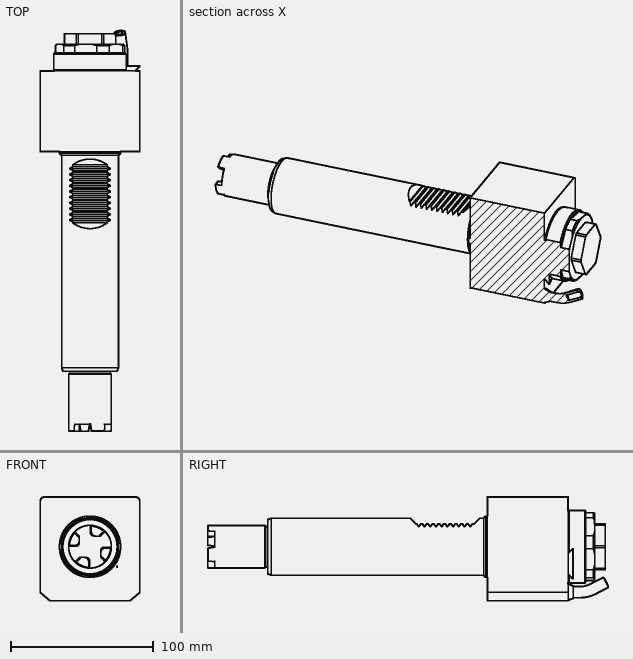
import cadquery as cq
import math


block_width = 70.0
block_top = 35.0
block_bottom = -38.0
block_length = 56.5
block_top_fillet = 3.5
block_chamfer_width = 7.0
block_chamfer_height = 6.0

collar_diameter = 43.0
collar_length = 2.5
collar_chamfer = 1.2
shank_diameter = 40.0
shank_end = 154.0
shank_chamfer_length = 2.5
shank_chamfer_radial = 1.0

tip_diameter = 30.0
tip_end = 196.0
lug_height = 5.0
lug_count = 4
lug_foot_start_x = 0.2
lug_foot_end_x = 7.2
lug_flank_draft = 0.8
lug_floor_z = 7.5
lug_corner_radius = 2.8
lug_chamfer = 0.5
neck_width = 2.0
neck_depth = 0.7

flat_height = 16.0
flat_start = 5.3
flat_end = 54.0
tooth_pitch = 4.0
tooth_count = 10
tooth_depth = 2.0
tooth_width = 2.8
first_tooth = 12.0

base_diameter = 51.0
base_length = 12.5
base_foot_diameter = 50.4
base_foot_length = 0.8
base_chamfer = 0.8
large_nut_flats = 46.0
large_nut_diameter = 48.6
large_nut_length = 6.2
large_nut_chamfer = 1.0
large_nut_angle = -7.5
small_nut_flats = 32.0
small_nut_diameter = 36.0
small_nut_length = 7.4
hexagon_sides = 6

screw_diameter = 21.0
screw_rim = 0.3
screw_height = 3.5
screw_x = block_width / 2 - screw_diameter / 2
screw_z = -12.0

tube_x = 22.6
tube_z = -31.8
tube_diameter = 8.0
tube_bore = 4.0
tube_socket_diameter = 11.57
tube_socket_end_diameter = 9.0
tube_socket_height = 3.5
tube_straight = 5.0
tube_bend_radius = 19.0
tube_bend_angle = 28.0
tube_outlet_length = 10.21
tube_lean = 15.0


def plane_at(y):
    """Plane facing +Y, with its local x along -X and local y along Z."""
    return cq.Workplane(cq.Plane(origin=(0, y, 0), xDir=(-1, 0, 0), normal=(0, 1, 0)))


def disc(y, diameter, length):
    """Cylinder on the shank axis that starts at y and runs toward +Y."""
    return plane_at(y).circle(diameter / 2).extrude(length)


def make_block():
    """Block with rounded top edges and chamfered bottom edges along Y."""
    height = block_top - block_bottom
    block = cq.Workplane("XY").box(block_width, block_length, height, centered=(True, False, False))
    block = block.translate((0, 0, block_bottom))
    block = block.edges("|Y and >Z").fillet(block_top_fillet)
    corners = cq.Workplane("XY")
    for side in (-1, 1):
        corner = (
            cq.Workplane("XZ")
            .polyline([
                (side * block_width / 2, block_bottom),
                (side * block_width / 2, block_bottom + block_chamfer_height),
                (side * (block_width / 2 - block_chamfer_width), block_bottom),
            ])
            .close()
            .extrude(-block_length)
        )
        corners = corners.add(corner)
    return block.cut(corners.combine())


def make_shank():
    """Collar, shank, neck groove and tip body, revolved about the Y axis."""
    collar_radius = collar_diameter / 2
    shank_radius = shank_diameter / 2
    tip_radius = tip_diameter / 2
    profile = [
        (0, 0),
        (collar_radius, 0),
        (collar_radius, -(collar_length - collar_chamfer)),
        (collar_radius - collar_chamfer, -collar_length),
        (shank_radius, -collar_length),
        (shank_radius, -(shank_end - shank_chamfer_length)),
        (shank_radius - shank_chamfer_radial, -shank_end),
        (tip_radius - neck_depth, -shank_end),
        (tip_radius - neck_depth, -(shank_end + neck_width - neck_depth)),
        (tip_radius, -(shank_end + neck_width)),
        (tip_radius, -(tip_end - lug_height)),
        (0, -(tip_end - lug_height)),
    ]
    return cq.Workplane("XY").polyline(profile).close().revolve(360, (0, 0), (0, 1))


def lug_section(y, start_x, end_x):
    """Lug outline at y: straight flank, rounded corner, floor and a 45 degree flank."""
    tip_radius = tip_diameter / 2
    arc_offset = lug_corner_radius * (1 - math.sqrt(0.5))
    return (
        cq.Workplane("XZ", origin=(0, y, 0))
        .moveTo(start_x, tip_radius)
        .lineTo(start_x, lug_floor_z + lug_corner_radius)
        .threePointArc(
            (start_x + arc_offset, lug_floor_z + arc_offset),
            (start_x + lug_corner_radius, lug_floor_z),
        )
        .lineTo(end_x, lug_floor_z)
        .lineTo(end_x + tip_radius - lug_floor_z, tip_radius)
        .close()
        .val()
    )


def make_lugs():
    """Lugs with drafted flanks, trimmed to the tip diameter and spaced evenly."""
    foot = lug_section(-tip_end + lug_height, lug_foot_start_x, lug_foot_end_x)
    crest = lug_section(-tip_end, lug_foot_start_x + lug_flank_draft, lug_foot_end_x - lug_flank_draft)
    lug = cq.Workplane(cq.Solid.makeLoft([foot, crest], True))
    envelope = disc(-tip_end, tip_diameter, lug_height).faces("<Y").chamfer(lug_chamfer)
    lug = lug.intersect(envelope)
    lugs = cq.Workplane("XY")
    for index in range(lug_count):
        lugs = lugs.add(lug.rotate((0, 0, 0), (0, 1, 0), index * 360 / lug_count))
    return lugs.combine()


def cut_serrated_flat(body):
    """Flat with 45 degree run-outs and a row of V grooves across it."""
    shank_top = shank_diameter / 2
    drop = shank_top - flat_height
    side = cq.Workplane("YZ", origin=(-shank_top, 0, 0))
    cutter = side.polyline([
        (-flat_start, shank_top),
        (-flat_start - drop, flat_height),
        (-flat_end + drop, flat_height),
        (-flat_end, shank_top),
    ]).close().extrude(shank_diameter)
    body = body.cut(cutter)
    for index in range(tooth_count):
        y = -first_tooth - index * tooth_pitch
        groove = side.polyline([
            (y - tooth_width / 2, flat_height),
            (y, flat_height - tooth_depth),
            (y + tooth_width / 2, flat_height),
        ]).close().extrude(shank_diameter)
        body = body.cut(groove)
    return body


def make_nut(y, flats, diameter, length, angle, chamfer):
    """Hexagon of the given width across flats with its corners turned to a diameter."""
    across_corners = flats / math.cos(math.pi / hexagon_sides)
    hexagon = plane_at(y).polygon(hexagon_sides, across_corners).extrude(length)
    hexagon = hexagon.rotate((0, 0, 0), (0, 1, 0), angle)
    envelope = disc(y, diameter, length)
    if chamfer > 0:
        envelope = envelope.faces(">Y").chamfer(chamfer)
    return hexagon.intersect(envelope)


def make_nut_side():
    """Round base on a slightly smaller foot, followed by the large and the small hexagon."""
    base_end = block_length + base_length
    large_nut_end = base_end + large_nut_length
    rim_start = block_length + base_foot_length
    base = disc(rim_start, base_diameter, base_length - base_foot_length).faces(">Y").chamfer(base_chamfer)
    base = base.union(disc(block_length, base_foot_diameter, base_foot_length))
    large_nut = make_nut(
        base_end, large_nut_flats, large_nut_diameter, large_nut_length, large_nut_angle, large_nut_chamfer
    )
    small_nut = make_nut(large_nut_end, small_nut_flats, small_nut_diameter, small_nut_length, 0, 0)
    return base.union(large_nut).union(small_nut)


def make_screw_head():
    """Head that widens away from the block at 45 degrees and ends in a thin rim."""
    radius = screw_diameter / 2
    cone_height = screw_height - screw_rim
    profile = [
        (0, 0),
        (radius - cone_height, 0),
        (radius, cone_height),
        (radius, screw_height),
        (0, screw_height),
    ]
    head = cq.Workplane("XY").polyline(profile).close().revolve(360, (0, 0), (0, 1))
    return head.translate((screw_x, block_length, screw_z))


def make_tube():
    """Conical socket, straight piece, bend and bored outlet, built in the YZ plane and leaned about Y."""
    angle = math.radians(tube_bend_angle)
    straight_end = tube_socket_height + tube_straight
    bend_end_y = straight_end + tube_bend_radius * math.sin(angle)
    bend_end_z = tube_bend_radius * (1 - math.cos(angle))
    direction = cq.Vector(0, math.cos(angle), math.sin(angle))
    outlet_plane = cq.Plane(origin=(0, bend_end_y, bend_end_z), xDir=(1, 0, 0), normal=direction.toTuple())

    socket = (
        plane_at(0)
        .circle(tube_socket_diameter / 2)
        .workplane(offset=tube_socket_height)
        .circle(tube_socket_end_diameter / 2)
        .loft()
    )
    straight = disc(tube_socket_height, tube_diameter, tube_straight)
    bend = (
        plane_at(straight_end)
        .circle(tube_diameter / 2)
        .revolve(tube_bend_angle, (1, tube_bend_radius), (0, tube_bend_radius))
    )
    outlet = cq.Workplane(outlet_plane).circle(tube_diameter / 2).extrude(tube_outlet_length)
    bore = cq.Workplane(outlet_plane).circle(tube_bore / 2).extrude(tube_outlet_length)
    tube = socket.union(straight).union(bend).union(outlet).cut(bore)
    tube = tube.rotate((0, 0, 0), (0, 1, 0), -tube_lean)
    return tube.translate((tube_x, block_length, tube_z))


shank = cut_serrated_flat(make_shank())
result = make_block().union(shank).union(make_lugs())
result = result.union(make_nut_side()).union(make_screw_head()).union(make_tube())